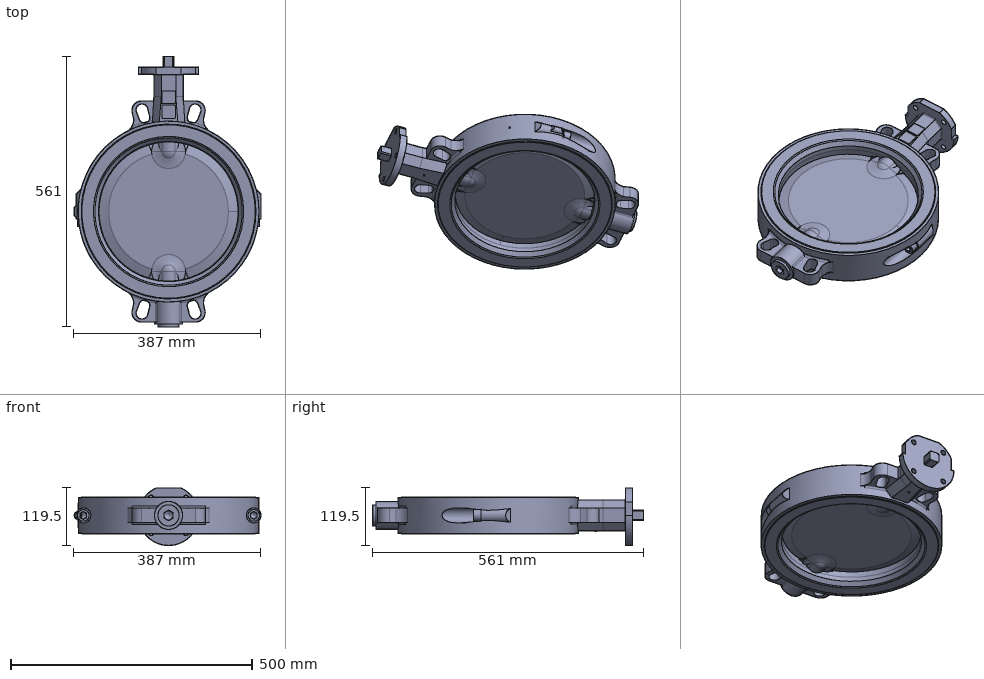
import cadquery as cq
import math


body_radius = 187.2
body_half_height = 37.0
liner_radius = 359.0 / 2
liner_half_height = 38.5
liner_edge_step = 1.5
lip_radius = 155.5
lip_chamfer = 3.0
throat_radius = 145.0
throat_half_height = 28.5
seat_radius = 144.0
seat_half_height = 19.0

disc_half_thickness = 12.0
disc_edge_half_thickness = 5.0
disc_flat_radius = 124.0
disc_radius = seat_radius + 2.0
hub_radius = 22.0
hub_ridge_half_width = 13.5
hub_flare_radius = 70.1 / 2
hub_flare_end_half_width = 44.0
hub_flare_end_height = 6.5
hub_end_y = seat_radius + 1.0

ear_end_y = 229.0
ear_corner_radius = 20.0
ear_half_width = 76.0
ear_waist_angle = math.radians(13)
ear_waist_y = 191.0
ear_inner_y = 165.0
ear_half_thickness = 15.0
ear_root_half_width = 83.5
ear_fillet = 4.0
slot_outer_center = (55.0, 210.5)
slot_outer_radius = 12.0
slot_inner_center = (50.0, 194.5)
slot_inner_radius = 11.0

boss_radius = 58.0 / 2
boss_end_y = -233.0
plug_radius = 44.0 / 2
plug_end_y = -239.5
plug_socket_flats = 19.0
plug_socket_depth = 10.0

neck_half_width = 30.5
neck_half_height = 32.0
neck_flat_half_width = 15.0
neck_foot_half_width = 34.0
neck_foot_flat_half_width = 20.0
neck_taper_y = 238.0
neck_foot_y = 175.0
badge_half_width = 14.0
badge_spans_y = ((193.0, 220.5), (223.5, 249.5))
badge_corner_radius = 2.0
badge_depth = 0.6
neck_root_fillet = 2.0
neck_pin_diameter = 3.2
neck_pin_y = 223.0
neck_pin_height = 1.5
flange_near_y = 284.0
flange_far_y = 298.8
flange_radius = 62.5
flange_top_flat = 57.0
flange_side_flat = 56.0
flange_bolt_circle = 102.0
flange_hole_diameter = 11.0
stem_end_y = 321.5
stem_flats = 22.0
stem_diameter = 28.0

socket_floor_angle = 30.0
bolt_axis_x = 176.5
side_boss_radius = 30.0 / 2
side_boss_ridge_y = 36.0
bolt_head_radius = 24.0 / 2
bolt_head_top_y = -15.0
bolt_head_end_y = -31.0
bolt_socket_flats = 14.0
bolt_socket_depth = 8.0
pocket_radius = 31.0 / 2
pocket_end_y = -100.0
side_nub_radius = 16.0 / 2
side_nub_axis_x = -187.5
side_nub_ridge_half_length = 8.0

vent_diameter = 3.0
vent_depth = 6.0
vent_y = 94.5


def rod_y(radius, y_start, y_end, x=0.0):
    """Round bar parallel to Y."""
    return cq.Workplane("XZ", origin=(x, y_start, 0)).circle(radius).extrude(y_start - y_end)


def hex_socket(flats, depth, mouth_y, x=0.0):
    """Hexagonal cutter going from mouth_y toward +Y, with a conical floor."""
    across_corners = flats / math.cos(math.pi / 6)
    prism = (
        cq.Workplane("XZ", origin=(x, mouth_y, 0))
        .transformed(rotate=(0, 0, 90))
        .polygon(6, across_corners)
        .extrude(-depth)
    )
    cone_height = flats / 2 * math.tan(math.radians(socket_floor_angle))
    floor = cq.Vector(x, mouth_y + depth, 0)
    tip = cq.Solid.makeCone(flats / 2, 0, cone_height, floor, cq.Vector(0, 1, 0))
    return prism.union(cq.Workplane(tip))


def make_ring():
    """Metal ring and liner as one solid of revolution about Z."""
    lip_z = liner_half_height - lip_chamfer / 2
    upper = [
        (seat_radius, seat_half_height),
        (throat_radius, throat_half_height),
        (lip_radius - lip_chamfer, lip_z),
        (lip_radius, liner_half_height),
        (liner_radius, liner_half_height),
        (liner_radius + liner_edge_step, body_half_height),
        (body_radius, body_half_height),
    ]
    lower = [(r, -z) for r, z in reversed(upper)]
    return cq.Workplane("XZ").polyline(upper + lower).close().revolve(360, (0, 0), (0, 1))


def make_disc():
    """Flat disc whose faces slope down to a thinner rim."""
    upper = [
        (0, disc_half_thickness),
        (disc_flat_radius, disc_half_thickness),
        (disc_radius, disc_edge_half_thickness),
    ]
    lower = [(r, -z) for r, z in reversed(upper)]
    return cq.Workplane("XZ").polyline(upper + lower).close().revolve(360, (0, 0), (0, 1))


def hub_flare_wire(y, outer_x, face_z):
    """Half section of the concave flare at height y, tangent to a disc face level of face_z."""
    ridge_z = math.sqrt(hub_radius**2 - hub_ridge_half_width**2)
    run = outer_x - hub_ridge_half_width
    rise = ridge_z - face_z
    arc_radius = (run**2 + rise**2) / (2 * rise)
    half_sweep = math.atan2(rise, run)
    arc_middle = (
        outer_x - arc_radius * math.sin(half_sweep),
        face_z + arc_radius * (1 - math.cos(half_sweep)),
    )
    return (
        cq.Workplane("XZ", origin=(0, y, 0))
        .lineTo(outer_x, 0)
        .lineTo(outer_x, face_z)
        .threePointArc(arc_middle, (hub_ridge_half_width, ridge_z))
        .lineTo(0, ridge_z)
        .close()
    )


def make_hub():
    """Round-ended shaft hub at the +Y side of the disc, flared into both faces."""
    hub = rod_y(hub_radius, disc_flat_radius, hub_end_y)
    hub = hub.union(cq.Workplane("XY").sphere(hub_radius).translate((0, disc_flat_radius, 0)))
    start = hub_flare_wire(disc_flat_radius, hub_flare_radius, disc_half_thickness)
    end = hub_flare_wire(hub_end_y, hub_flare_end_half_width, hub_flare_end_height)
    half_run = cq.Workplane(cq.Solid.makeLoft([start.val(), end.val()], True))
    flare = start.revolve(360, (0, 0), (0, 1))
    flare = flare.union(half_run, clean=False).union(half_run.mirror("YZ"), clean=False)
    inside_throat = cq.Workplane("XY").circle(disc_radius).extrude(hub_radius)
    flare = flare.intersect(inside_throat, clean=False)
    return hub.union(flare, clean=False).union(flare.mirror("XY"), clean=False)


def ear_slot(side):
    """Tapered slot: hull of a large outer circle and a small inner one."""
    outer_x, outer_y = slot_outer_center
    inner_x, inner_y = slot_inner_center
    distance = math.hypot(inner_x - outer_x, inner_y - outer_y)
    axis = math.atan2(outer_y - inner_y, outer_x - inner_x)
    swing = math.acos((slot_inner_radius - slot_outer_radius) / distance)

    def on_circle(center, radius, angle):
        return (side * (center[0] + radius * math.cos(angle)), center[1] + radius * math.sin(angle))

    return (
        cq.Workplane("XY", origin=(0, 0, -ear_half_thickness))
        .moveTo(*on_circle(slot_outer_center, slot_outer_radius, axis - swing))
        .threePointArc(
            on_circle(slot_outer_center, slot_outer_radius, axis),
            on_circle(slot_outer_center, slot_outer_radius, axis + swing),
        )
        .lineTo(*on_circle(slot_inner_center, slot_inner_radius, axis + swing))
        .threePointArc(
            on_circle(slot_inner_center, slot_inner_radius, axis + math.pi),
            on_circle(slot_inner_center, slot_inner_radius, axis - swing),
        )
        .close()
        .extrude(2 * ear_half_thickness)
    )


def ear_outline():
    """Outline of the +Y ear plate: rounded corners, waisted sides and sides flared into the ring."""
    corner_x = ear_half_width - ear_corner_radius
    corner_y = ear_end_y - ear_corner_radius

    def on_corner(angle):
        return (corner_x + ear_corner_radius * math.cos(angle), corner_y + ear_corner_radius * math.sin(angle))

    side_x, side_y = on_corner(-ear_waist_angle)
    waist_x = side_x - (side_y - ear_waist_y) * math.tan(ear_waist_angle)
    root_y = math.sqrt(body_radius**2 - ear_root_half_width**2)
    flare_bulge = 0.2 * (ear_root_half_width - waist_x)
    return (
        cq.Workplane("XY", origin=(0, 0, -ear_half_thickness))
        .moveTo(0, ear_inner_y)
        .lineTo(ear_root_half_width, ear_inner_y)
        .lineTo(ear_root_half_width, root_y)
        .threePointArc((waist_x + flare_bulge, (root_y + ear_waist_y) / 2), (waist_x, ear_waist_y))
        .lineTo(side_x, side_y)
        .threePointArc(on_corner(math.pi / 4), (corner_x, ear_end_y))
        .lineTo(0, ear_end_y)
        .mirrorY()
    )


def make_ear_root():
    """Concave fillet band between the ring and the two faces of the +Y ear plate."""
    inner = body_radius - ear_fillet
    outer = body_radius + ear_fillet
    root_half_height = ear_half_thickness + ear_fillet
    arc_radius = outer - ear_fillet * math.sqrt(0.5)
    arc_z = root_half_height - ear_fillet * math.sqrt(0.5)
    band = (
        cq.Workplane("XZ")
        .moveTo(inner, -root_half_height)
        .lineTo(body_radius, -root_half_height)
        .threePointArc((arc_radius, -arc_z), (outer, -ear_half_thickness))
        .lineTo(outer, ear_half_thickness)
        .threePointArc((arc_radius, arc_z), (body_radius, root_half_height))
        .lineTo(inner, root_half_height)
        .close()
        .revolve(360, (0, 0), (0, 1))
    )
    span = cq.Workplane("XY", origin=(0, ear_end_y / 2, 0)).box(
        2 * ear_half_width, ear_end_y, 2 * root_half_height
    )
    return band.intersect(span)


def make_ears():
    """Pair of slotted ears at the +Y end."""
    plate = ear_outline().extrude(2 * ear_half_thickness)
    for side in (-1, 1):
        plate = plate.cut(ear_slot(side))
    return plate


def make_lower_mount():
    """The -Y ears with the closed shaft bearing boss blended into both ear faces."""
    boss = rod_y(boss_radius, boss_end_y, -ear_inner_y)
    mount = make_ears().mirror("XZ").union(boss)
    seam_x = math.sqrt(boss_radius**2 - ear_half_thickness**2)
    seams = cq.selectors.BoxSelector(
        (-seam_x - 1, -ear_end_y, -ear_half_thickness - 1),
        (seam_x + 1, -ear_inner_y, ear_half_thickness + 1),
    )
    return mount.edges("|Y").edges(seams).fillet(ear_fillet)


def make_plug():
    """Round screw plug closing the end of the lower boss."""
    return rod_y(plug_radius, plug_end_y, boss_end_y)


def octagon(y, half_width, flat_half_width):
    """Neck cross-section as a wire in the plane at height y."""
    side_z = neck_flat_half_width
    quarter = [(half_width, side_z), (flat_half_width, neck_half_height)]
    upper = quarter + [(-x, z) for x, z in reversed(quarter)]
    lower = [(x, -z) for x, z in reversed(upper)]
    return cq.Wire.makePolygon([cq.Vector(x, y, z) for x, z in upper + lower], close=True)


def make_neck():
    """Octagonal neck that widens toward the ring, with two shallow badge fields on top."""
    foot = octagon(neck_foot_y, neck_foot_half_width, neck_foot_flat_half_width)
    waist = octagon(neck_taper_y, neck_half_width, neck_flat_half_width)
    head = octagon(flange_near_y, neck_half_width, neck_flat_half_width)
    neck = cq.Workplane(cq.Solid.makeLoft([foot, waist], True))
    neck = neck.union(cq.Workplane(cq.Solid.makeLoft([waist, head], True)))
    for y_low, y_high in badge_spans_y:
        field = (
            cq.Workplane("XY", origin=(0, (y_low + y_high) / 2, neck_half_height - badge_depth))
            .rect(2 * badge_half_width, y_high - y_low)
            .extrude(2 * badge_depth)
            .edges("|Z")
            .fillet(badge_corner_radius)
        )
        neck = neck.cut(field)
    return neck


def make_flange():
    """Actuator flange: round below, flattened at the top and on the upper half of both sides."""
    thickness = flange_far_y - flange_near_y
    flange = rod_y(flange_radius, flange_near_y, flange_far_y)
    keep_upper = (
        cq.Workplane("XY")
        .box(2 * flange_side_flat, thickness, flange_top_flat, centered=(True, False, False))
    )
    keep_lower = (
        cq.Workplane("XY", origin=(0, 0, -flange_radius))
        .box(2 * flange_radius, thickness, flange_radius, centered=(True, False, False))
    )
    flange = flange.intersect(keep_upper.union(keep_lower).translate((0, flange_near_y, 0)))
    holes = (
        cq.Workplane("XZ", origin=(0, flange_near_y, 0))
        .polarArray(flange_bolt_circle / 2, 45, 360, 4)
        .circle(flange_hole_diameter / 2)
        .extrude(-thickness)
    )
    return flange.cut(holes)


def make_stem():
    """Square drive end with rounded corners."""
    length = stem_end_y - flange_near_y
    square = cq.Workplane("XZ", origin=(0, flange_near_y, 0)).rect(stem_flats, stem_flats).extrude(-length)
    return square.intersect(rod_y(stem_diameter / 2, flange_near_y, stem_end_y))


def sloped_rod(radius, axis_x, y_low, y_high, slope_low):
    """Bar along Y whose +Y end (and optionally -Y end) slopes 45 degrees from its outermost ridge."""
    side = math.copysign(1, axis_x)
    ridge_x = axis_x + side * radius
    run = 2 * radius
    low_run = run if slope_low else 0
    keep = (
        cq.Workplane("XY", origin=(0, 0, -radius))
        .moveTo(ridge_x, y_low)
        .lineTo(ridge_x, y_high)
        .lineTo(ridge_x - side * run, y_high + run)
        .lineTo(ridge_x - side * run, y_low - low_run)
        .close()
        .extrude(2 * radius)
    )
    return rod_y(radius, y_low - low_run, y_high + run, axis_x).intersect(keep)


def add_clamp_bolt(part, side):
    """Bolt boss, open pocket and socket-head bolt on one side of the ring."""
    axis_x = side * bolt_axis_x
    part = part.union(sloped_rod(side_boss_radius, axis_x, bolt_head_top_y, side_boss_ridge_y, False))
    part = part.cut(rod_y(pocket_radius, pocket_end_y, bolt_head_top_y, axis_x))
    part = part.union(rod_y(bolt_head_radius, bolt_head_end_y, bolt_head_top_y + 1, axis_x))
    return part.cut(hex_socket(bolt_socket_flats, bolt_socket_depth, bolt_head_end_y, axis_x))


def make_side_nub():
    """Short round nub lying on the -X side, sloped at both ends."""
    half_length = side_nub_ridge_half_length
    return sloped_rod(side_nub_radius, side_nub_axis_x, -half_length, half_length, True)


def vent_hole():
    """Small blind radial hole on the -X side."""
    vent_x = -math.sqrt(body_radius**2 - vent_y**2)
    outward = cq.Vector(vent_x, vent_y, 0).normalized()
    start = outward * (body_radius - vent_depth)
    return cq.Workplane(cq.Solid.makeCylinder(vent_diameter / 2, 2 * vent_depth, start, outward))


def make_upper_mount():
    """The +Y ears, neck and flange, with a fillet where the neck meets the flange."""
    neck_root = cq.selectors.BoxSelector(
        (-neck_half_width - 1, flange_near_y - 0.1, -neck_half_height - 1),
        (neck_half_width + 1, flange_near_y + 0.1, neck_half_height + 1),
    )
    head = make_neck().union(make_flange()).edges(neck_root).fillet(neck_root_fillet)
    pin = (
        cq.Workplane("XY", origin=(0, neck_pin_y, -neck_half_height))
        .circle(neck_pin_diameter / 2)
        .extrude(-neck_pin_height)
    )
    return make_ears().union(head).union(pin)


ear_root = make_ear_root()
mounts = make_upper_mount().union(make_lower_mount()).union(ear_root).union(ear_root.mirror("XZ"))
for slot_side in (-1, 1):
    slot = ear_slot(slot_side)
    mounts = mounts.cut(slot).cut(slot.mirror("XZ"))
bore = cq.Workplane("XY", origin=(0, 0, -liner_half_height)).circle(liner_radius).extrude(2 * liner_half_height)
result = make_ring().union(mounts.cut(bore))
result = result.union(make_stem())
result = result.union(make_plug()).cut(hex_socket(plug_socket_flats, plug_socket_depth, plug_end_y))
for bolt_side in (-1, 1):
    result = add_clamp_bolt(result, bolt_side)
result = result.union(make_side_nub()).cut(vent_hole())
hub = make_hub()
result = result.union(make_disc()).union(hub, clean=False).union(hub.mirror("XZ"), clean=False)